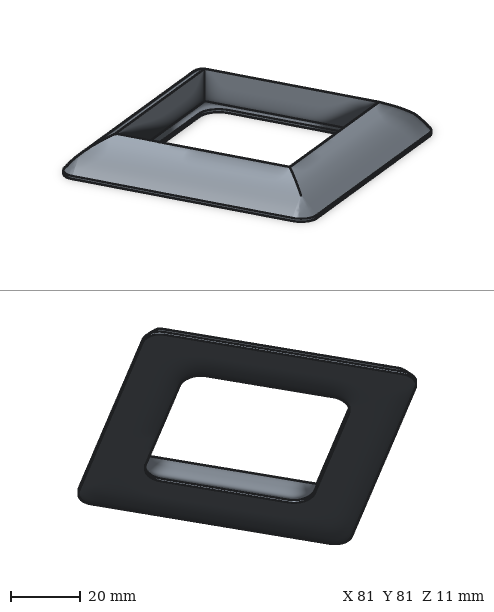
import cadquery as cq
import math

side = 81.0
height = 11.0
base_height = 1.0
corner_radius = 5.0

recess_side = 56.2
opening_side = 50.2
opening_radius = 6.2

flank_radius = 35.6

half_side = side / 2
half_recess = recess_side / 2
corner_axis = half_side - corner_radius

flank_run = half_side - half_recess
flank_rise = height - base_height
chord = math.hypot(flank_run, flank_rise)
centre_distance = math.sqrt(flank_radius**2 - (chord / 2) ** 2)
centre_x = (half_side + half_recess) / 2 - centre_distance * flank_rise / chord
centre_z = (base_height + height) / 2 - centre_distance * flank_run / chord


def flank_height(x):
    """Height of the flank at distance x from the frame's middle plane."""
    return centre_z + math.sqrt(flank_radius**2 - (x - centre_x) ** 2)


def flank_point(x):
    return (x, flank_height(x))


def domed_bar():
    """Full-length bar along Y with an arched flank on each X side."""
    middle_x, middle_z = flank_point((half_side + half_recess) / 2)
    return (
        cq.Workplane("XZ")
        .moveTo(-half_side, 0)
        .lineTo(half_side, 0)
        .lineTo(half_side, base_height)
        .threePointArc((middle_x, middle_z), (half_recess, height))
        .lineTo(-half_recess, height)
        .threePointArc((-middle_x, middle_z), (-half_side, base_height))
        .close()
        .extrude(half_side, both=True)
    )


def rounded_corner():
    """Flank profile revolved about the vertical axis of one corner."""
    return (
        cq.Workplane("XZ", origin=(corner_axis, corner_axis, 0))
        .lineTo(corner_radius, 0)
        .lineTo(corner_radius, base_height)
        .threePointArc(
            (corner_radius / 2, flank_height(corner_axis + corner_radius / 2)),
            (0, flank_height(corner_axis)),
        )
        .close()
        .revolve(360, (0, 0), (0, 1))
    )


def corner_block():
    """Square block that bounds one corner outside its axis."""
    return (
        cq.Workplane("XY", origin=(corner_axis, corner_axis, 0))
        .rect(corner_radius, corner_radius, centered=False)
        .extrude(height)
    )


body = domed_bar().intersect(domed_bar().rotate((0, 0, 0), (0, 0, 1), 90))

block = corner_block()
corner = rounded_corner().intersect(block)
for angle in (0, 90, 180, 270):
    body = body.cut(block.rotate((0, 0, 0), (0, 0, 1), angle))
    body = body.union(corner.rotate((0, 0, 0), (0, 0, 1), angle))

recess = cq.Workplane("XY").workplane(offset=base_height).rect(recess_side, recess_side).extrude(flank_rise)

opening = cq.Workplane("XY").rect(opening_side, opening_side).extrude(base_height)
opening = opening.edges("|Z").fillet(opening_radius)

result = body.cut(recess).cut(opening)